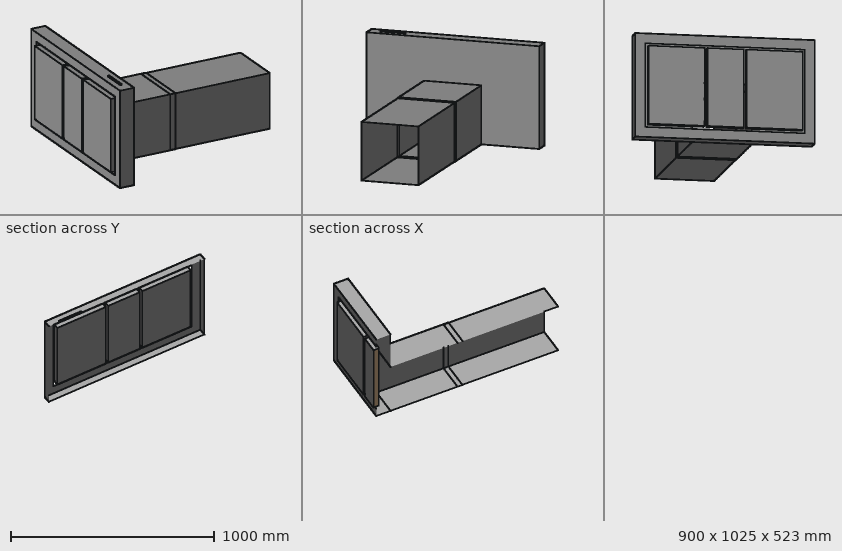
import cadquery as cq

total_length = 1025.0
hood_width = 900.0
hood_height = 520.0
hood_depth = 80.0
hood_wall = 1.0
window_border = 50.0

panel_protrusion = 15.0
panel_thickness = 31.0
panel_gap = 14.0
middle_panel_width = 182.0

duct_size = 299.0
duct_wall = 1.0
lower_duct_end = 494.0
duct_overlap = 28.0

control_length = 129.0
control_width = 9.0
control_height = 3.0
control_center_x = 325.0

hood_front = panel_protrusion
hood_back = hood_front + hood_depth
window_width = hood_width - 2 * window_border
window_height = hood_height - 2 * window_border
panel_height = window_height - 2 * panel_gap
panel_bottom = window_border + panel_gap
side_panel_width = (window_width - middle_panel_width - 4 * panel_gap) / 2
side_panel_x = middle_panel_width / 2 + panel_gap + side_panel_width / 2
upper_duct_size = duct_size - 2 * duct_wall
upper_duct_start = lower_duct_end - duct_overlap


def block(width, height, y_start, y_end, bottom=0.0, center_x=0.0):
    """Box between two Y positions, centred on center_x and standing on bottom."""
    depth = y_end - y_start
    return cq.Workplane("XY").box(width, depth, height, centered=(True, False, False)).translate(
        (center_x, y_start, bottom)
    )


def make_hood():
    """Hollow sheet-metal hood with a front window, a rear duct opening and a control strip."""
    hood = block(hood_width, hood_height, hood_front, hood_back)
    cavity = block(
        hood_width - 2 * hood_wall,
        hood_height - 2 * hood_wall,
        hood_front + hood_wall,
        hood_back - hood_wall,
        hood_wall,
    )
    window = block(window_width, window_height, hood_front, hood_front + hood_wall, window_border)
    duct_opening = block(
        upper_duct_size,
        upper_duct_size,
        hood_back - hood_wall,
        hood_back,
        duct_wall,
    )
    control_y = hood_front + hood_depth / 2
    control_strip = block(
        control_length,
        control_height,
        control_y - control_width / 2,
        control_y + control_width / 2,
        hood_height,
        control_center_x,
    )
    return hood.cut(cavity).cut(window).cut(duct_opening).union(control_strip)


def make_duct(size, y_start, y_end, bottom):
    """Open square tube running along Y."""
    bore_size = size - 2 * duct_wall
    outside = block(size, size, y_start, y_end, bottom)
    bore = block(bore_size, bore_size, y_start, y_end, bottom + duct_wall)
    return outside.cut(bore)


def make_filter_panel(width, center_x):
    """Flat panel standing in the hood window and protruding from it."""
    return block(width, panel_height, 0.0, panel_thickness, panel_bottom, center_x)


hood = make_hood()
lower_duct = make_duct(duct_size, hood_back, lower_duct_end, 0.0)
upper_duct = make_duct(upper_duct_size, upper_duct_start, total_length, duct_wall)

panel_layout = [
    (side_panel_width, -side_panel_x),
    (middle_panel_width, 0.0),
    (side_panel_width, side_panel_x),
]
filter_panels = [make_filter_panel(width, center_x) for width, center_x in panel_layout]

result = cq.Compound.makeCompound(
    [hood.val(), lower_duct.val(), upper_duct.val()] + [panel.val() for panel in filter_panels]
)